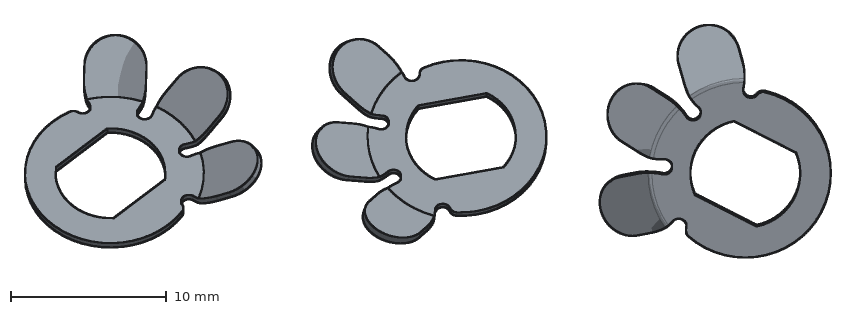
import cadquery as cq
import math

thickness = 0.5
ring_radius = 5.5
bore_radius = 3.525
bore_flat_width = 5.45

petal_angles = (-45.0, 0.0, 45.0)
petal_half_width = 2.0
petal_length = 4.0
bend_radius = 6.0
bend_angle = math.radians(30.0)

notch_radius = 0.5
root_radius = 3.0
ring_corner_radius = 0.5

trim_allowance = 0.6

half_pitch = math.radians(petal_angles[1] - petal_angles[0]) / 2
inner_notch_y = petal_half_width / math.tan(half_pitch)
outer_notch_y = math.sqrt(ring_radius**2 - petal_half_width**2)
blank_end_y = bend_radius + petal_length + 2 * trim_allowance


def turn(point, degrees):
    """Turn a plan point clockwise about the origin."""
    x, y = point
    angle = math.radians(degrees)
    return (
        x * math.cos(angle) + y * math.sin(angle),
        y * math.cos(angle) - x * math.sin(angle),
    )


def mirror(point):
    """Mirror a plan point in the YZ plane."""
    return (-point[0], point[1])


def toward(start, end, distance):
    """Point at a distance from start on the line to end."""
    fraction = distance / math.dist(start, end)
    return (
        start[0] + (end[0] - start[0]) * fraction,
        start[1] + (end[1] - start[1]) * fraction,
    )


def arc_middle(center, start, end):
    """Midpoint of the shorter arc about center from start to end."""
    chord_middle = ((start[0] + end[0]) / 2, (start[1] + end[1]) / 2)
    return toward(center, chord_middle, math.dist(center, start))


def root_round(notch_y):
    """Notch end, midpoint and petal-side end of the root arc, for a petal along +Y."""
    notch = (petal_half_width, notch_y)
    rise = math.sqrt((root_radius + notch_radius)**2 - root_radius**2)
    center = (petal_half_width - root_radius, notch_y + rise)
    notch_end = toward(notch, center, notch_radius)
    side_end = (petal_half_width, center[1])
    return notch_end, arc_middle(center, notch_end, side_end), side_end


def notch_bottom(notch_y):
    """Point of the notch nearest the ring axis."""
    notch = (petal_half_width, notch_y)
    return toward(notch, (0, 0), notch_radius)


def ring_corner():
    """Notch end, midpoint and ring end of the corner arc beside the right outer notch."""
    notch = turn((petal_half_width, outer_notch_y), petal_angles[-1])
    center_distance = ring_radius - ring_corner_radius
    notch_distance = notch_radius + ring_corner_radius
    cos_offset = (ring_radius**2 + center_distance**2 - notch_distance**2) / (
        2 * ring_radius * center_distance
    )
    on_notch_line = toward((0, 0), notch, center_distance)
    center = turn(on_notch_line, math.degrees(math.acos(cos_offset)))
    notch_end = toward(center, notch, ring_corner_radius)
    ring_end = toward((0, 0), center, ring_radius)
    return notch_end, arc_middle(center, notch_end, ring_end), ring_end


def plan_outline():
    """Closed plan outline, clockwise from the left outer notch, with untrimmed petals."""
    corner_notch_end, corner_middle, corner_ring_end = ring_corner()
    outline = cq.Workplane("XY").moveTo(*mirror(corner_notch_end))

    for angle in petal_angles:
        left_y = outer_notch_y if angle == petal_angles[0] else inner_notch_y
        right_y = outer_notch_y if angle == petal_angles[-1] else inner_notch_y
        left_root = [turn(mirror(point), angle) for point in root_round(left_y)]
        right_root = [turn(point, angle) for point in root_round(right_y)]
        left_notch_bottom = turn(mirror(notch_bottom(left_y)), angle)
        outline = (
            outline.threePointArc(left_notch_bottom, left_root[0])
            .threePointArc(left_root[1], left_root[2])
            .lineTo(*turn((-petal_half_width, blank_end_y), angle))
            .lineTo(*turn((petal_half_width, blank_end_y), angle))
            .lineTo(*right_root[2])
            .threePointArc(right_root[1], right_root[0])
        )

    right_notch_bottom = turn(notch_bottom(outer_notch_y), petal_angles[-1])
    return (
        outline.threePointArc(right_notch_bottom, corner_notch_end)
        .threePointArc(corner_middle, corner_ring_end)
        .threePointArc((0, -ring_radius), mirror(corner_ring_end))
        .threePointArc(mirror(corner_middle), mirror(corner_notch_end))
        .close()
    )


def below_bend(angle):
    """Radius and height of the point one sheet thickness from the bend, square to a slope angle."""
    return (
        bend_radius + thickness * math.sin(angle),
        thickness - thickness * math.cos(angle),
    )


def dished_sheet():
    """Flat disc with a conical rim of the same thickness, revolved about Z.

    The bend is sharp on the upper face and rounded by the sheet thickness underneath.
    """
    rim_length = petal_length + trim_allowance
    rim_run = rim_length * math.cos(bend_angle)
    rim_rise = rim_length * math.sin(bend_angle)
    bend_end_radius, bend_end_height = below_bend(bend_angle)
    return (
        cq.Workplane("XZ")
        .moveTo(0, 0)
        .lineTo(bend_radius, 0)
        .threePointArc(below_bend(bend_angle / 2), (bend_end_radius, bend_end_height))
        .lineTo(bend_end_radius + rim_run, bend_end_height + rim_rise)
        .lineTo(bend_radius + rim_run, thickness + rim_rise)
        .lineTo(bend_radius, thickness)
        .lineTo(0, thickness)
        .close()
        .revolve(360, (0, 0), (0, 1))
    )


def tip_trimmer(angle):
    """Tool square to the petal slope that leaves a semicircular tip."""
    slope_plane = cq.Plane(
        origin=(0, bend_radius, thickness),
        xDir=(1, 0, 0),
        normal=(0, -math.sin(bend_angle), math.cos(bend_angle)),
    )
    round_start = petal_length - petal_half_width
    far_end = petal_length + 2 * trim_allowance
    return (
        cq.Workplane(slope_plane)
        .moveTo(-petal_half_width, round_start)
        .threePointArc((0, petal_length), (petal_half_width, round_start))
        .lineTo(petal_half_width, far_end)
        .lineTo(-petal_half_width, far_end)
        .close()
        .extrude(2 * thickness, both=True)
        .rotate((0, 0, 0), (0, 0, 1), -angle)
    )


def bore():
    """Round opening with two flats parallel to Y."""
    flats = cq.Workplane("XY").rect(bore_flat_width, 2 * ring_radius).extrude(thickness)
    return cq.Workplane("XY").circle(bore_radius).extrude(thickness).intersect(flats)


blank_height = thickness + petal_length
result = dished_sheet().intersect(plan_outline().extrude(blank_height))
for petal_angle in petal_angles:
    result = result.cut(tip_trimmer(petal_angle))
result = result.cut(bore())